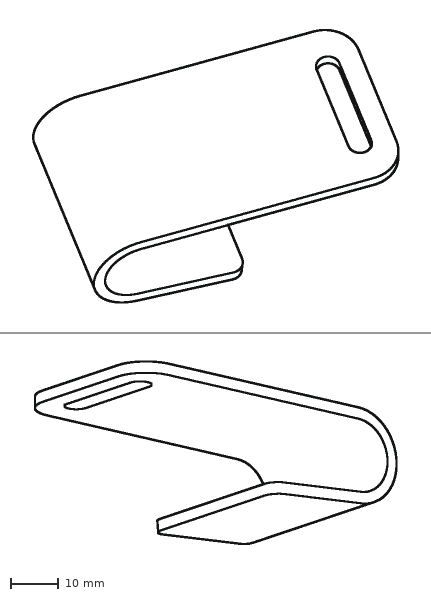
import cadquery as cq
import math

length = 70.0
width = 40.0
thickness = 2.5
bend_radius = 10.5
leg_length = 24.35
leg_angle = 5.0
plate_corner_radius = 7.5
leg_corner_radius = 3.0
slot_length = 26.05
slot_width = 5.05
slot_end_distance = 7.5

inner_radius = bend_radius - thickness
plate_end = length - bend_radius
slope = math.radians(leg_angle)


def leg_point(radius, distance):
    """Point (Y, Z) on the leg face tangent to the bend at the given radius."""
    return (
        -radius * math.sin(slope) + distance * math.cos(slope),
        -radius * math.cos(slope) - distance * math.sin(slope),
    )


def make_strip():
    """Bent strip of constant thickness, centred on X = 0."""
    return (
        cq.Workplane("YZ")
        .moveTo(plate_end, bend_radius)
        .lineTo(0, bend_radius)
        .threePointArc((-bend_radius, 0), leg_point(bend_radius, 0))
        .lineTo(*leg_point(bend_radius, leg_length))
        .lineTo(*leg_point(inner_radius, leg_length))
        .lineTo(*leg_point(inner_radius, 0))
        .threePointArc((-inner_radius, 0), (0, inner_radius))
        .lineTo(plate_end, inner_radius)
        .close()
        .extrude(width / 2, both=True)
    )


def round_corners(strip):
    """Round the two free corners of the plate and of the leg."""
    plate_corners = strip.faces(">Y").edges("|Z")
    strip = plate_corners.fillet(plate_corner_radius)
    across_leg = cq.Vector(0, math.sin(slope), math.cos(slope))
    leg_corners = strip.edges(cq.selectors.ParallelDirSelector(across_leg))
    return leg_corners.fillet(leg_corner_radius)


def make_slot():
    """Cutter for the strap slot through the plate."""
    return (
        cq.Workplane("XY", origin=(0, plate_end - slot_end_distance, inner_radius))
        .slot2D(slot_length, slot_width)
        .extrude(thickness)
    )


result = round_corners(make_strip()).cut(make_slot())